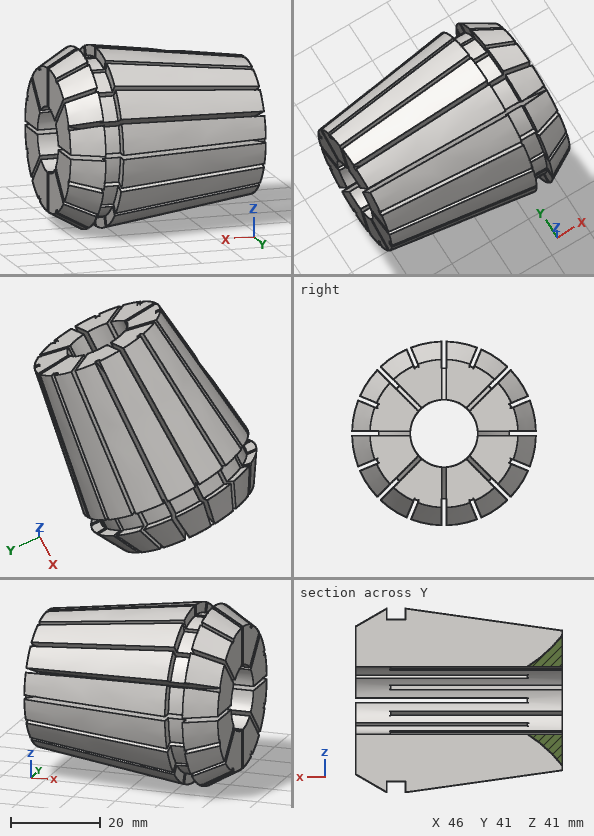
import cadquery as cq
import math

length = 46.0
max_diameter = 41.0
max_radius = max_diameter / 2
bore_radius = 7.5

nose_angle = 30.0
body_angle = 8.0
groove_radius = 18.1
groove_start = 34.9
groove_end = 39.05

slots_per_set = 8
slot_width = 1.0
slot_pitch = 360.0 / slots_per_set
saw_radius = 29.9
end_web = 7.8
small_end_floor = 14.55
nose_end_floor = 16.05

small_end_radius = max_radius - groove_start * math.tan(math.radians(body_angle))
nose_end_radius = max_radius - (length - groove_end) * math.tan(math.radians(nose_angle))


def make_body():
    """Revolved half section, bore included."""
    half_section = [
        (0, bore_radius),
        (0, small_end_radius),
        (groove_start, max_radius),
        (groove_start, groove_radius),
        (groove_end, groove_radius),
        (groove_end, max_radius),
        (length, nose_end_radius),
        (length, bore_radius),
    ]
    return cq.Workplane("XY").polyline(half_section).close().revolve(360, (0, 0, 0), (1, 0, 0))


def slot_cutter(floor_radius):
    """Radial slab along +Z, blind at x = 0, where its floor climbs along the saw's arc."""
    slab_height = max_diameter
    return (
        cq.Workplane("XZ")
        .moveTo(end_web, 0)
        .lineTo(end_web, bore_radius)
        .radiusArc((0, floor_radius), saw_radius)
        .lineTo(0, slab_height)
        .lineTo(length, slab_height)
        .lineTo(length, 0)
        .close()
        .extrude(slot_width / 2, both=True)
    )


def cut_slot_set(body, cutter, first_angle):
    """Cut one evenly spaced set of slots, the first turned first_angle about the axis."""
    for index in range(slots_per_set):
        angle = first_angle + index * slot_pitch
        body = body.cut(cutter.rotate((0, 0, 0), (1, 0, 0), angle))
    return body


nose_slot = slot_cutter(small_end_floor)
small_end_slot = slot_cutter(nose_end_floor).mirror("YZ").translate((length, 0, 0))

result = make_body()
result = cut_slot_set(result, nose_slot, 0)
result = cut_slot_set(result, small_end_slot, slot_pitch / 2)